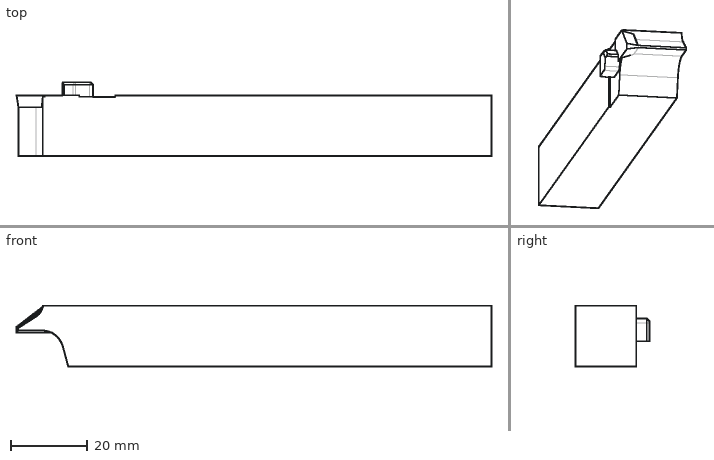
import math

import cadquery as cq

total_length = 125.0
shank_width = 16.0
shank_height = 16.0

relief_depth = 0.4
relief_end_x = 26.0

nose_x = 0.5
nose_bottom_z = 9.55
nose_top_z = 10.15
rake_angle = math.radians(32.5)
rake_height = 2.9
runout_end_angle = math.radians(81.0)

foot_x = 13.6
clearance_angle = math.radians(15.0)
clearance_height = 5.2

tip_start_y = 12.9
tip_bottom_z = 8.9
tip_top_z = 10.4
tip_rake_angle = math.radians(37.5)
tip_end_x = 16.5

clamp_reach = 3.5
clamp_top_z = 12.65
clamp_bottom_z = 6.6
clamp_nose_top = (12.6, 10.8)
clamp_nose_bottom = (12.1, 10.0)
clamp_top_left_x = 15.1
clamp_bottom_left_x = 12.8
clamp_right_x = 20.2
clamp_corner_radius = 1.1
clamp_edge_chamfer = 0.7


def arc_point(center, radius, angle):
    """Point on a circle in the XZ plane."""
    return (center[0] + radius * math.cos(angle), center[1] + radius * math.sin(angle))


def profile_plane(y):
    """XZ workplane at the given Y; a negative extrusion length runs toward +Y."""
    return cq.Workplane("XZ", origin=(0, y, 0))


def make_shank():
    rake_end = (nose_x + rake_height / math.tan(rake_angle), nose_top_z + rake_height)
    runout_radius = (shank_height - rake_end[1]) / (math.cos(rake_angle) - math.cos(runout_end_angle))
    runout_center = (
        rake_end[0] - runout_radius * math.sin(rake_angle),
        rake_end[1] + runout_radius * math.cos(rake_angle),
    )
    runout_mid_angle = (rake_angle + runout_end_angle) / 2 - math.pi / 2
    runout_mid = arc_point(runout_center, runout_radius, runout_mid_angle)
    runout_end = arc_point(runout_center, runout_radius, runout_end_angle - math.pi / 2)

    arc_end = (foot_x - clearance_height * math.tan(clearance_angle), clearance_height)
    arc_radius = (nose_bottom_z - clearance_height) / (1 - math.sin(clearance_angle))
    arc_center = (arc_end[0] - arc_radius * math.cos(clearance_angle), nose_bottom_z - arc_radius)
    arc_mid = arc_point(arc_center, arc_radius, (clearance_angle + math.pi / 2) / 2)

    return (
        profile_plane(0)
        .moveTo(nose_x, nose_bottom_z)
        .lineTo(nose_x, nose_top_z)
        .lineTo(*rake_end)
        .threePointArc(runout_mid, runout_end)
        .lineTo(total_length, shank_height)
        .lineTo(total_length, 0)
        .lineTo(foot_x, 0)
        .lineTo(*arc_end)
        .threePointArc(arc_mid, (arc_center[0], nose_bottom_z))
        .close()
        .extrude(-shank_width)
    )


def make_back_relief():
    return cq.Workplane("XY").box(relief_end_x, relief_depth, shank_height, centered=False).translate(
        (0, shank_width - relief_depth, 0)
    )


def tip_outline(front_x, bottom_z, top_z):
    """Corners of the tip section: blunt nose, rake line up to the top face, square end."""
    rake_top_x = front_x + (shank_height - top_z) / math.tan(tip_rake_angle)
    return [
        (front_x, bottom_z),
        (front_x, top_z),
        (rake_top_x, shank_height),
        (tip_end_x, shank_height),
        (tip_end_x, bottom_z),
    ]


def make_tip():
    return (
        profile_plane(tip_start_y)
        .polyline(tip_outline(nose_x, nose_bottom_z, nose_top_z))
        .close()
        .workplane(offset=tip_start_y - shank_width)
        .polyline(tip_outline(0, tip_bottom_z, tip_top_z))
        .close()
        .loft(ruled=True)
    )


def edge_along_y(point):
    """Selector for the clamp edge that runs along Y through an XZ point."""
    return cq.selectors.NearestToPointSelector((point[0], shank_width + clamp_reach / 2, point[1]))


def make_clamp():
    root_y = shank_width - relief_depth
    top_left = (clamp_top_left_x, clamp_top_z)
    top_right = (clamp_right_x, clamp_top_z)
    bottom_right = (clamp_right_x, clamp_bottom_z)
    bottom_left = (clamp_bottom_left_x, clamp_bottom_z)
    clamp = (
        profile_plane(root_y)
        .polyline([clamp_nose_bottom, clamp_nose_top, top_left, top_right, bottom_right, bottom_left])
        .close()
        .extrude(-(clamp_reach + relief_depth))
    )
    for corner in (top_left, top_right, bottom_left):
        clamp = clamp.edges("|Y").edges(edge_along_y(corner)).fillet(clamp_corner_radius)
    return clamp.faces(">Y").edges(">Z").chamfer(clamp_edge_chamfer)


result = make_shank().cut(make_back_relief()).union(make_tip()).union(make_clamp())